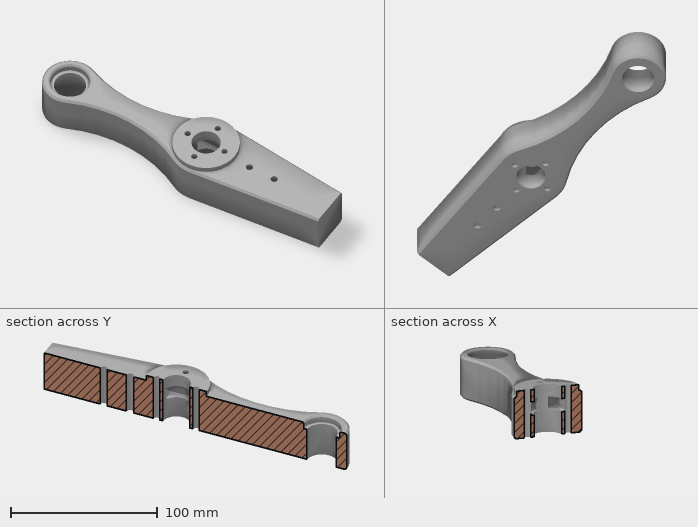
import cadquery as cq
import math

LENGTH = 229.0
THICKNESS = 30.0
EDGE_CHAMFER = 1.49
EYE_RADIUS = 19.0
HUB_RADIUS = 25.0
EYE_TO_HUB = 110.0
WAIST_RADIUS = 100.0
TAIL_WIDTH = 30.0

EYE_BORE = 22.0
EYE_SEAT = 27.0
EYE_SEAT_DEPTH = 5.0
EYE_SEAT_CHAMFER = 1.1

PAD_DIAMETER = 46.0
PAD_HEIGHT = 4.0
HUB_BORE = 20.0
SCREW_HOLE = 4.4
SCREW_CIRCLE_RADIUS = 14.9
SCREW_COUNT = 4

POCKET_LENGTH = 34.4
POCKET_OUTER_Y = 12.5
POCKET_FLOOR = 15.8
POCKET_CEILING = 25.0
POCKET_FLOOR_CHAMFER = 1.1
WEB_THICKNESS = 7.3

TAIL_HOLE = 5.0
TAIL_HOLE_OFFSETS = (35.0, 55.0)

EYE_X = EYE_RADIUS
HUB_X = EYE_X + EYE_TO_HUB
TOP = THICKNESS + PAD_HEIGHT


def arm_outline():
    """Eye and hub circles joined by tangent waist arcs, with a tapered tail tangent to the hub."""
    eye_reach = EYE_RADIUS + WAIST_RADIUS
    hub_reach = HUB_RADIUS + WAIST_RADIUS
    waist_dx = (EYE_TO_HUB**2 + eye_reach**2 - hub_reach**2) / (2 * EYE_TO_HUB)
    waist_x = EYE_X + waist_dx
    waist_y = math.sqrt(eye_reach**2 - waist_dx**2)

    eye_tangent = (
        EYE_X + EYE_RADIUS * waist_dx / eye_reach,
        EYE_RADIUS * waist_y / eye_reach,
    )
    hub_tangent = (
        HUB_X + HUB_RADIUS * (waist_x - HUB_X) / hub_reach,
        HUB_RADIUS * waist_y / hub_reach,
    )
    waist_middle = (waist_x, waist_y - WAIST_RADIUS)

    tail_corner = (LENGTH, TAIL_WIDTH / 2)
    corner_dx = LENGTH - HUB_X
    corner_distance = math.hypot(corner_dx, tail_corner[1])
    tail_angle = math.atan2(tail_corner[1], corner_dx) + math.acos(HUB_RADIUS / corner_distance)
    tail_tangent = (
        HUB_X + HUB_RADIUS * math.cos(tail_angle),
        HUB_RADIUS * math.sin(tail_angle),
    )
    hub_start_angle = math.atan2(hub_tangent[1], hub_tangent[0] - HUB_X)
    hub_middle_angle = (hub_start_angle + tail_angle) / 2
    hub_middle = (
        HUB_X + HUB_RADIUS * math.cos(hub_middle_angle),
        HUB_RADIUS * math.sin(hub_middle_angle),
    )

    def mirrored(point):
        return (point[0], -point[1])

    return (
        cq.Workplane("XY")
        .moveTo(*mirrored(eye_tangent))
        .threePointArc((0, 0), eye_tangent)
        .threePointArc(waist_middle, hub_tangent)
        .threePointArc(hub_middle, tail_tangent)
        .lineTo(*tail_corner)
        .lineTo(*mirrored(tail_corner))
        .lineTo(*mirrored(tail_tangent))
        .threePointArc(mirrored(hub_middle), mirrored(hub_tangent))
        .threePointArc(mirrored(waist_middle), mirrored(eye_tangent))
        .close()
    )


def arm_body():
    """Arm chamfered along its top and bottom edges, except across the square tail end."""
    body = arm_outline().extrude(THICKNESS)
    return body.faces("<Z or >Z").edges("not >X").chamfer(EDGE_CHAMFER)


def upright_cylinder(x, y, diameter, bottom, top):
    """Vertical cylinder between two heights."""
    return cq.Workplane("XY", origin=(x, y, bottom)).circle(diameter / 2).extrude(top - bottom)


def hub_pocket(side):
    """Box beside the web on the +Y side (side = 1) or the -Y side (side = -1)."""
    inner_y = WEB_THICKNESS / 2
    width = POCKET_OUTER_Y - inner_y
    outer_face = ">Y" if side > 0 else "<Y"
    return (
        cq.Workplane("XY", origin=(HUB_X, side * (inner_y + width / 2), POCKET_FLOOR))
        .rect(POCKET_LENGTH, width)
        .extrude(POCKET_CEILING - POCKET_FLOOR)
        .faces(outer_face)
        .edges("<Z")
        .chamfer(POCKET_FLOOR_CHAMFER)
    )


result = arm_body().union(upright_cylinder(HUB_X, 0, PAD_DIAMETER, THICKNESS / 2, TOP))

result = result.cut(upright_cylinder(EYE_X, 0, EYE_BORE, 0, THICKNESS))
seat = upright_cylinder(EYE_X, 0, EYE_SEAT, THICKNESS - EYE_SEAT_DEPTH, THICKNESS)
seat_rim = (
    cq.Workplane("XY", origin=(EYE_X, 0, THICKNESS))
    .circle(EYE_SEAT / 2 + EYE_SEAT_CHAMFER)
    .workplane(offset=-EYE_SEAT_CHAMFER)
    .circle(EYE_SEAT / 2)
    .loft()
)
result = result.cut(seat).cut(seat_rim)

result = result.cut(upright_cylinder(HUB_X, 0, HUB_BORE, 0, TOP))
for side in (1, -1):
    result = result.cut(hub_pocket(side))
for index in range(SCREW_COUNT):
    angle = index * 2 * math.pi / SCREW_COUNT
    screw_x = HUB_X + SCREW_CIRCLE_RADIUS * math.cos(angle)
    screw_y = SCREW_CIRCLE_RADIUS * math.sin(angle)
    result = result.cut(upright_cylinder(screw_x, screw_y, SCREW_HOLE, 0, TOP))

for offset in TAIL_HOLE_OFFSETS:
    result = result.cut(upright_cylinder(HUB_X + offset, 0, TAIL_HOLE, 0, THICKNESS))